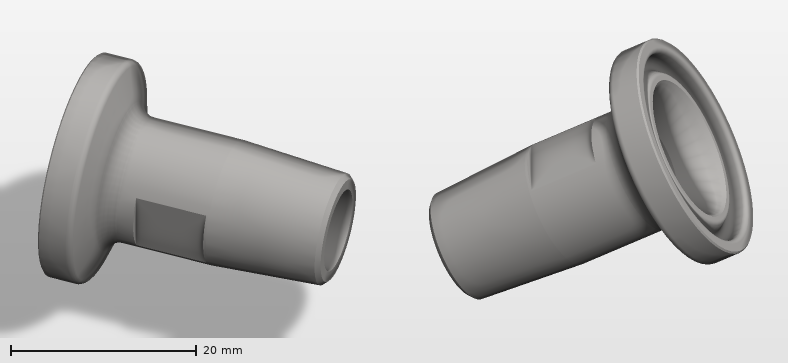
import cadquery as cq
import math

length = 30
flange_diameter = 25.0
flange_radius = flange_diameter / 2

face_chamfer = 0.18
back_fillet = 0.75
rim_width = 3.18
back_angle = 20
neck_fillet = 2.0

shank_radius = 7.0
taper_start = 17.3
taper_ratio = 1 / 16
end_chamfer = 0.5

flat_start = 9
flat_end = 17.0
across_flats = 12

bore_radius = 4.55
mouth_radius = 7.92
mouth_recess = 0.8
bore_start = 4.95

groove_outer_radius = 10.9
groove_edge_round = 0.5
groove_floor_round = 0.78
groove_wall_angle = 35
lip_radius = 8.45
lip_round = 0.5


def arc_point(centre, radius, degrees):
    """Point on a circle; degrees counted from +X towards the outside."""
    angle = math.radians(degrees)
    return (centre[0] + radius * math.cos(angle), centre[1] + radius * math.sin(angle))


def arc(outline, centre, radius, start, end):
    """Line to the arc's start angle, then follow the arc to its end angle."""
    return outline.lineTo(*arc_point(centre, radius, start)).threePointArc(
        arc_point(centre, radius, (start + end) / 2), arc_point(centre, radius, end)
    )


def revolve_about_x(outline):
    return outline.close().revolve(360, (0, 0, 0), (1, 0, 0))


def make_body():
    """Flange, shank and taper as one solid of revolution."""
    slope = math.radians(back_angle)
    rim_centre = (rim_width, flange_radius - back_fillet)
    cone_top = arc_point(rim_centre, back_fillet, back_angle)
    neck_radius = shank_radius + neck_fillet
    cone_bottom_radius = neck_radius - neck_fillet * math.sin(slope)
    cone_bottom = cone_top[0] + (cone_top[1] - cone_bottom_radius) * math.tan(slope)
    neck_centre = (cone_bottom + neck_fillet * math.cos(slope), neck_radius)
    end_radius = shank_radius - taper_ratio * (length - end_chamfer - taper_start)

    outline = cq.Workplane("XY").lineTo(0, flange_radius - face_chamfer)
    outline = outline.lineTo(face_chamfer, flange_radius)
    outline = arc(outline, rim_centre, back_fillet, 90, back_angle)
    outline = arc(outline, neck_centre, neck_fillet, 180 + back_angle, 270)
    outline = (
        outline.lineTo(taper_start, shank_radius)
        .lineTo(length - end_chamfer, end_radius)
        .lineTo(length, end_radius - end_chamfer)
        .lineTo(length, 0)
    )
    return revolve_about_x(outline)


def make_face_cut():
    """Groove, recess in front of the inner lip, conical mouth and through bore."""
    edge_centre = (groove_edge_round, groove_outer_radius + groove_edge_round)
    lip_centre = (mouth_recess + lip_round, lip_radius)
    slope = math.radians(groove_wall_angle)
    floor_radius = groove_outer_radius - groove_floor_round
    tangent_rise = (lip_round + groove_floor_round) / math.cos(slope)
    floor_offset = (floor_radius - lip_radius - tangent_rise) / math.tan(slope)
    floor_centre = (lip_centre[0] + floor_offset, floor_radius)

    outline = cq.Workplane("XY")
    outline = arc(outline, edge_centre, groove_edge_round, 180, 270)
    outline = arc(outline, floor_centre, groove_floor_round, 90, groove_wall_angle - 90)
    outline = arc(outline, lip_centre, lip_round, 90 + groove_wall_angle, 180)
    outline = (
        outline.lineTo(mouth_recess, mouth_radius)
        .lineTo(bore_start, bore_radius)
        .lineTo(length, bore_radius)
        .lineTo(length, 0)
    )
    return revolve_about_x(outline)


def make_flat_cut(side):
    """Block that leaves one wrench flat on the shank; side is +1 or -1."""
    width = flat_end - flat_start
    block = cq.Workplane("XY").box(width, shank_radius, 2 * shank_radius)
    return block.translate(
        ((flat_start + flat_end) / 2, side * (across_flats + shank_radius) / 2, 0)
    )


result = make_body().cut(make_face_cut())
for side in (-1, 1):
    result = result.cut(make_flat_cut(side))